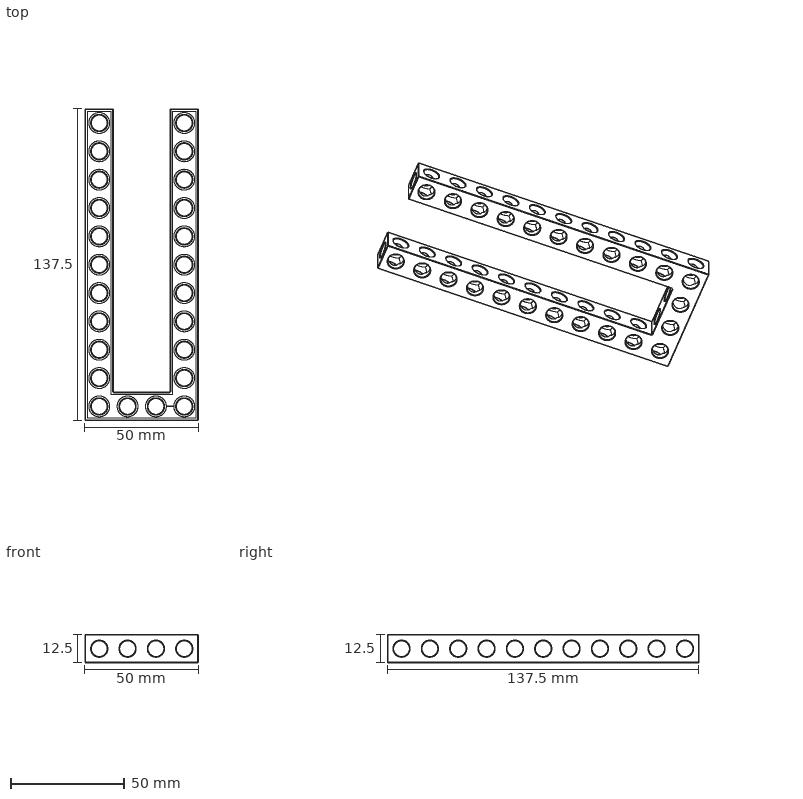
import cadquery as cq

pitch = 12.5
holes_across = 4
holes_along = 11

hole_diameter = 7.0
edge_chamfer = 0.3

wall = 1.1
recess_depth = 0.2
groove_width = 0.2
groove_depth = 0.2

width = holes_across * pitch
length = holes_along * pitch
height = pitch
hole_radius = hole_diameter / 2
collar_diameter = hole_diameter + 2 * wall
recess_floor = height / 2 - recess_depth

columns = [(i - (holes_across - 1) / 2) * pitch for i in range(holes_across)]
rows = [(i - (holes_along - 1) / 2) * pitch for i in range(holes_along)]
leg_columns = [columns[0], columns[-1]]
crossbar_row = rows[0]
leg_rows = rows[1:]
crossbar_columns = columns[1:-1]
cell_centres = [(x, y) for x in leg_columns for y in leg_rows] + [(x, crossbar_row) for x in columns]


def u_prism(inset, thickness, bottom):
    """U-shaped prism, open towards +Y, with every side moved inwards by inset."""
    outer = cq.Workplane("XY").rect(width - 2 * inset, length - 2 * inset).extrude(thickness)
    slot = (
        cq.Workplane("XY")
        .center(0, pitch / 2)
        .rect(width - 2 * pitch + 2 * inset, length - pitch + 2 * inset)
        .extrude(thickness)
    )
    return outer.cut(slot).translate((0, 0, bottom))


def frame():
    """U-shaped beam with all edges chamfered."""
    return u_prism(0, height, -height / 2).edges().chamfer(edge_chamfer)


def hole_cutter(hole_length):
    """Round cutter along Z, centred on the origin, flared by the chamfer at both ends."""
    half = hole_length / 2
    flared_radius = hole_radius + edge_chamfer
    return (
        cq.Workplane("XZ")
        .moveTo(0, -half)
        .lineTo(flared_radius, -half)
        .lineTo(hole_radius, edge_chamfer - half)
        .lineTo(hole_radius, half - edge_chamfer)
        .lineTo(flared_radius, half)
        .lineTo(0, half)
        .close()
        .revolve(360, (0, 0, 0), (0, 1, 0))
    )


def along_x(hole_length):
    """Hole cutter turned to run along X."""
    return hole_cutter(hole_length).rotate((0, 0, 0), (0, 1, 0), 90)


def along_y(hole_length):
    """Hole cutter turned to run along Y."""
    return hole_cutter(hole_length).rotate((0, 0, 0), (1, 0, 0), 90)


def drill_upright(body):
    """Vertical through hole in every cell."""
    for x, y in cell_centres:
        body = body.cut(hole_cutter(height).translate((x, y, 0)))
    return body


def drill_across(body):
    """Holes along X: one through each leg cell, one through the whole crossbar."""
    for x in leg_columns:
        for y in leg_rows:
            body = body.cut(along_x(pitch).translate((x, y, 0)))
    return body.cut(along_x(width).translate((0, crossbar_row, 0)))


def drill_lengthwise(body):
    """Holes along Y: one through each inner crossbar cell, one through each whole leg."""
    for x in crossbar_columns:
        body = body.cut(along_y(pitch).translate((x, crossbar_row, 0)))
    for x in leg_columns:
        body = body.cut(along_y(length).translate((x, 0, 0)))
    return body


def top_recess():
    """Recess cutter for the top face, with a collar left around each upright hole."""
    collars = (
        cq.Workplane("XY", origin=(0, 0, recess_floor))
        .pushPoints(cell_centres)
        .circle(collar_diameter / 2)
        .extrude(recess_depth)
    )
    return u_prism(wall, recess_depth, recess_floor).cut(collars)


def collar_groove():
    """Narrow groove in the recess floor joining the last two collars of the crossbar."""
    middle_x = (columns[-2] + columns[-1]) / 2
    return (
        cq.Workplane("XY", origin=(middle_x, crossbar_row, recess_floor))
        .rect(pitch - collar_diameter, groove_width)
        .extrude(-groove_depth)
    )


body = drill_lengthwise(drill_across(drill_upright(frame())))
result = body.cut(top_recess()).cut(collar_groove())